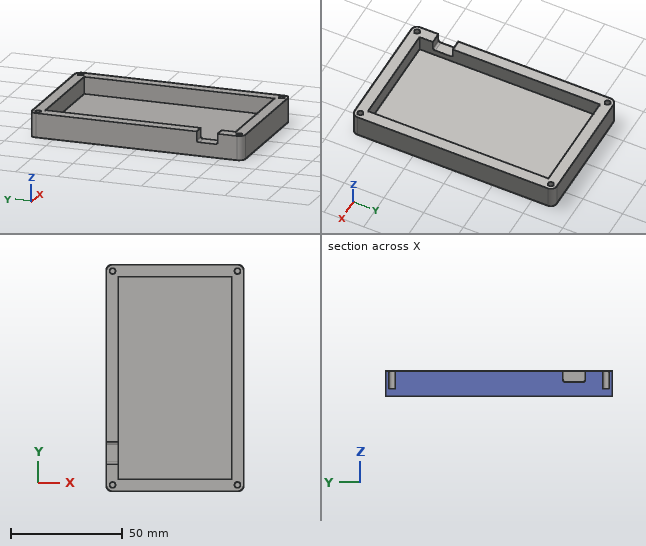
import cadquery as cq

width = 62.0
length = 102.0
height = 11.5
corner_radius = 3.0

wall = 5.5
floor_thickness = 3.5

hole_diameter = 2.7
hole_depth = 8.0

notch_width = 10.0
notch_depth = 5.0
notch_fillet = 1.0
notch_end_distance = 12.2


def make_body():
    body = cq.Workplane("XY").box(width, length, height, centered=(True, True, False))
    return body.edges("|Z").fillet(corner_radius)


def make_cavity():
    return (
        cq.Workplane("XY")
        .workplane(offset=floor_thickness)
        .rect(width - 2 * wall, length - 2 * wall)
        .extrude(height - floor_thickness)
    )


def make_screw_holes():
    return (
        cq.Workplane("XY")
        .workplane(offset=height - hole_depth)
        .rect(width - 2 * corner_radius, length - 2 * corner_radius, forConstruction=True)
        .vertices()
        .circle(hole_diameter / 2)
        .extrude(hole_depth)
    )


def make_notch():
    center_x = (wall - width) / 2
    center_y = -length / 2 + notch_end_distance + notch_width / 2
    notch = cq.Workplane("XY").box(wall, notch_width, notch_depth, centered=(True, True, False))
    notch = notch.edges("|X and <Z").fillet(notch_fillet)
    return notch.translate((center_x, center_y, height - notch_depth))


result = make_body().cut(make_cavity()).cut(make_screw_holes()).cut(make_notch())